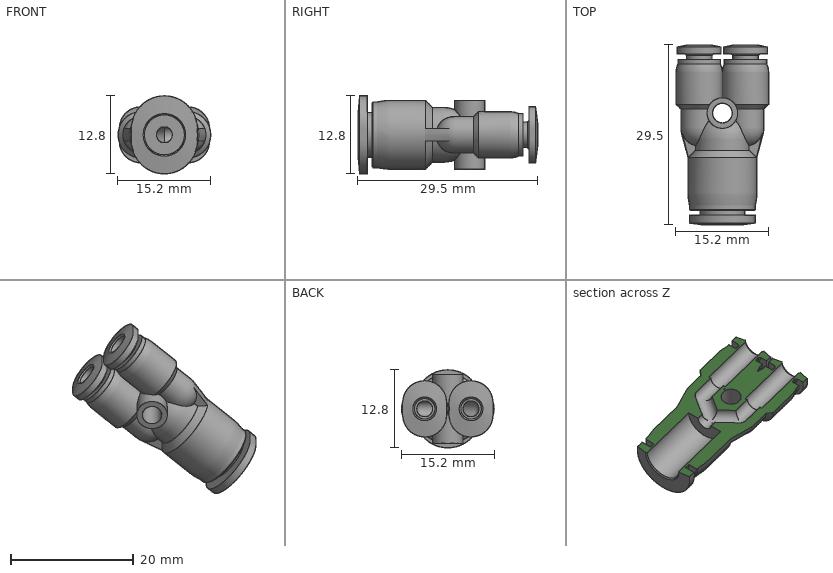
import cadquery as cq
import math

LENGTH = 29.45

MAIN = dict(
    flange_width=10.8, bevel=0.26, flange_back=1.55, neck_d=7.35, collar=0.0,
    body_start=2.33, lip_chamfer=0.18, lip_end=3.15, lip_d=10.8, taper_end=5.1,
    body_d=11.3, body_end=11.05, shoulder=1.15, root_end=14.05,
    mouth_d=6.95, bore_d=6.55, bore_depth=11.2,
)
BRANCH = dict(
    flange_width=7.2, bevel=0.35, flange_back=1.47, neck_d=4.2, collar=0.25,
    body_start=2.38, lip_chamfer=0.0, lip_end=3.15, lip_d=7.0, taper_end=4.47,
    body_d=7.6, body_end=9.72, shoulder=0.8, root_end=13.72,
    mouth_d=3.9, bore_d=3.35, bore_depth=10.0,
)
FLANGE_FLAT = 2.0
BRANCH_X = BRANCH["body_d"] / 2

EYE_Y = 18.28
EYE_D = 5.0
EYE_HOLE_D = 3.18
EYE_HEIGHT = MAIN["body_d"]

RIB_THICKNESS = 2.0
PASSAGE_D = 2.6
FORK_Y = 12.95


def root_radius(port):
    """Radius of the reduced body and of the ball that closes it."""
    return port["body_d"] / 2 - port["shoulder"]


def flange_wire(width, y):
    """Obround outline in the XZ plane with its long direction along Z."""
    r = width / 2
    z = FLANGE_FLAT / 2
    return (
        cq.Workplane("XZ", origin=(0, y, 0))
        .moveTo(r, -z)
        .lineTo(r, z)
        .threePointArc((0, z + r), (-r, z))
        .lineTo(-r, -z)
        .threePointArc((0, -z - r), (r, -z))
        .close()
    )


def mouth_wire(diameter, width, y):
    """Circle split into four arcs that pair with the four sides of the flange."""
    r = diameter / 2
    angle = math.atan2(FLANGE_FLAT, width)
    x = r * math.cos(angle)
    z = r * math.sin(angle)
    return (
        cq.Workplane("XZ", origin=(0, y, 0))
        .moveTo(x, -z)
        .threePointArc((r, 0), (x, z))
        .threePointArc((0, r), (-x, z))
        .threePointArc((-r, 0), (-x, -z))
        .threePointArc((0, -r), (x, -z))
        .close()
    )


def flange(port):
    """Release-sleeve flange: obround plate with a shallow bevel down from the mouth."""
    width = port["flange_width"]
    plate = flange_wire(width, port["bevel"]).extrude(port["bevel"] - port["flange_back"])
    rim = flange_wire(width, port["bevel"]).wires().val()
    mouth = mouth_wire(port["mouth_d"], width, 0).wires().val()
    bevel = cq.Solid.makeLoft([rim, mouth], True)
    return plate.union(cq.Workplane(obj=bevel))


def port_body(port):
    """Turned part of a port about the Y axis, closed by a ball at its inner end."""
    neck_r = port["neck_d"] / 2
    lip_r = port["lip_d"] / 2
    body_r = port["body_d"] / 2
    root_r = root_radius(port)
    collar = port["collar"]
    chamfer = port["lip_chamfer"]
    profile = (
        cq.Workplane("XY")
        .moveTo(0, port["bevel"])
        .lineTo(neck_r, port["bevel"])
    )
    if collar:
        profile = profile.lineTo(neck_r + collar, port["flange_back"])
        profile = profile.lineTo(neck_r, port["flange_back"] + collar)
    profile = profile.lineTo(neck_r, port["body_start"])
    profile = profile.lineTo(lip_r - chamfer, port["body_start"])
    if chamfer:
        profile = profile.lineTo(lip_r, port["body_start"] + chamfer)

    taper_length = port["taper_end"] - port["lip_end"]
    drop = body_r - lip_r
    arc_r = (taper_length**2 + drop**2) / (2 * drop)
    half_angle = math.asin(taper_length / arc_r) / 2
    arc_mid = (
        body_r - arc_r * (1 - math.cos(half_angle)),
        port["taper_end"] - arc_r * math.sin(half_angle),
    )
    ball_mid = root_r * math.sqrt(0.5)
    return (
        profile.lineTo(lip_r, port["lip_end"])
        .threePointArc(arc_mid, (body_r, port["taper_end"]))
        .lineTo(body_r, port["body_end"])
        .lineTo(root_r, port["body_end"] + port["shoulder"])
        .lineTo(root_r, port["root_end"])
        .threePointArc((ball_mid, port["root_end"] + ball_mid), (0, port["root_end"] + root_r))
        .close()
        .revolve(360, (0, 0, 0), (0, 1, 0))
    )


def port_bore(port):
    """Tube bore with a chamfered mouth."""
    mouth_r = port["mouth_d"] / 2
    bore_r = port["bore_d"] / 2
    return (
        cq.Workplane("XY")
        .polyline([
            (0, 0),
            (mouth_r, 0),
            (bore_r, mouth_r - bore_r),
            (bore_r, port["bore_depth"]),
            (0, port["bore_depth"]),
        ])
        .close()
        .revolve(360, (0, 0, 0), (0, 1, 0))
    )


def as_branch(shape, side):
    """Turn a port modelled at the origin to face +Y on the given side."""
    return shape.rotate((0, 0, 0), (0, 0, 1), 180).translate((side * BRANCH_X, LENGTH, 0))


def rib(side):
    """Slice of a slanted cone from the main body's edge to its tangent point on the branch ball."""
    start_y = MAIN["body_end"]
    ball_y = LENGTH - BRANCH["root_end"]
    ball_r = root_radius(BRANCH)
    dx = MAIN["body_d"] / 2 - BRANCH_X
    dy = start_y - ball_y
    direction = math.atan2(dy, dx) + math.acos(ball_r / math.hypot(dx, dy))
    tangent_y = ball_y + ball_r * math.sin(direction)
    slant = (
        cq.Workplane("XZ", origin=(0, start_y, 0))
        .circle(MAIN["body_d"] / 2)
        .workplane(offset=start_y - tangent_y)
        .center(side * BRANCH_X, 0)
        .circle(ball_r * math.cos(direction))
        .loft(ruled=True)
    )
    return slant.intersect(cq.Workplane("XY").box(LENGTH, 2 * LENGTH, RIB_THICKNESS))


def passage(start, end):
    """Round flow passage from start to end in the XY plane, with a ball at its end."""
    run = cq.Vector(*end) - cq.Vector(*start)
    pipe = cq.Solid.makeCylinder(PASSAGE_D / 2, run.Length, cq.Vector(*start), run)
    ball = cq.Workplane("XY").sphere(PASSAGE_D / 2).translate(end)
    return cq.Workplane(obj=pipe).union(ball)


part = port_body(MAIN).union(flange(MAIN))
for side in (-1, 1):
    part = part.union(as_branch(port_body(BRANCH), side))
    part = part.union(as_branch(flange(BRANCH), side))
    part = part.union(rib(side))
eye = cq.Workplane("XY").circle(EYE_D / 2).extrude(EYE_HEIGHT / 2, both=True)
part = part.union(eye.translate((0, EYE_Y, 0)))

eye_hole = cq.Workplane("XY").circle(EYE_HOLE_D / 2).extrude(EYE_HEIGHT, both=True)
part = part.cut(eye_hole.translate((0, EYE_Y, 0)))
fork = (0, FORK_Y, 0)
part = part.cut(port_bore(MAIN))
part = part.cut(passage((0, MAIN["bore_depth"], 0), fork))
for side in (-1, 1):
    bend = (side * BRANCH_X, LENGTH - BRANCH["root_end"], 0)
    bore_floor = (side * BRANCH_X, LENGTH - BRANCH["bore_depth"], 0)
    part = part.cut(as_branch(port_bore(BRANCH), side))
    part = part.cut(passage(bore_floor, bend))
    part = part.cut(passage(fork, bend))

result = part